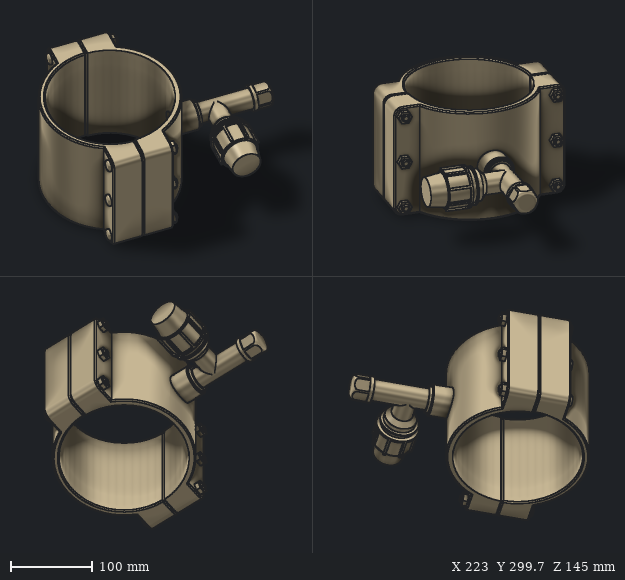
import cadquery as cq
import math

OVERALL_LENGTH = 299.7
MATCH_TOLERANCE = 0.03

CLAMP_HEIGHT = 145.0
BORE_RADIUS = 80.0
WALL = 8.0
SHELL_RADIUS = BORE_RADIUS + WALL
EAR_SPAN = 223.0
EAR_DEPTH = 40.0
EAR_CORNER_RADIUS = 11.0
EDGE_CHAMFER = 1.8

BOLT_X = 99.2
BOLT_PITCH = 60.5
BOLT_DIAMETER = 10.0
BOLT_TIP_LENGTH = 2.7
BOLT_TIP_CHAMFER = 1.8
HEAD_DIAMETER = 15.0
HEAD_HEIGHT = 4.0
HEAD_ROUND = 3.0
NUT_FLATS = 15.0
NUT_HEIGHT = 6.0

BOSS_DIAMETER = 39.3
BOSS_END = 111.8
BOSS_CHAMFER = 1.5
COLLAR_DIAMETER = 33.3
COLLAR_END = 115.5
PIPE_DIAMETER = 27.3
CAP_START = 185.0
CAP_RIM_END = 190.3
CAP_END = OVERALL_LENGTH - SHELL_RADIUS
CAP_FLATS = 30.0
CAP_ROUND = 6.5
OUTLET_DIAMETER = 25.0

BRANCH_Y = 138.8
CONE_START = 31.0
CONE_END = 37.8
SOCKET_DIAMETER = 40.5
RING_START = 44.7
RING_END = 46.5
RING_DIAMETER = 48.5
NECK_DIAMETER = 43.2
FLANGE_START = 53.0
FLANGE_END = 55.7
FLANGE_DIAMETER = 54.0
GRIP_DIAMETER = 48.5
RIB_END = 82.7
GRIP_CHAMFER = 1.5
GRIP_END = RIB_END + GRIP_CHAMFER
TAPER_START_DIAMETER = 43.8
TAPER_END_DIAMETER = 37.2
COUPLING_END = 105.5
RIB_COUNT = 8
RIB_WIDTH = 3.0


def cylinder_y(diameter, start, end):
    """Cylinder on the riser axis between two Y positions."""
    return cq.Workplane("XZ", origin=(0, start, 0)).circle(diameter / 2).extrude(start - end)


def clamp_cylinder(radius):
    """Full-height cylinder on the clamp axis."""
    return cq.Workplane("XY").circle(radius).extrude(CLAMP_HEIGHT / 2, both=True)


def hexagon_y(flats, start, end):
    """Hexagonal prism on the Y axis with two flats facing +Z and -Z."""
    prism = cq.Workplane("XZ", origin=(0, start, 0)).polygon(6, flats, circumscribed=True)
    return prism.extrude(start - end).rotate((0, 0, 0), (0, 1, 0), 30)


def chamfered_edges(half, with_bore_rims):
    """Edges of the +Y half that carry the small chamfer."""
    chosen = []
    for edge in half.edges().vals():
        middle = edge.positionAt(0.5)
        radius = math.hypot(middle.x, middle.y)
        on_split = abs(middle.y) < MATCH_TOLERANCE
        on_ear_face = abs(middle.y - EAR_DEPTH) < MATCH_TOLERANCE
        on_shell = abs(radius - SHELL_RADIUS) < MATCH_TOLERANCE
        on_ear_rim = on_ear_face and not on_shell
        on_shell_rim = on_shell and not on_ear_face
        on_bore_rim = abs(radius - BORE_RADIUS) < MATCH_TOLERANCE
        if on_split or on_ear_rim or on_shell_rim or (on_bore_rim and with_bore_rims):
            chosen.append(edge)
    return chosen


def clamp_half(with_bore_rims):
    """Half shell with two ears on the +Y side of the split."""
    ears = (
        cq.Workplane("XY")
        .box(EAR_SPAN, EAR_DEPTH, CLAMP_HEIGHT, centered=(True, False, True))
        .edges("|Y")
        .fillet(EAR_CORNER_RADIUS)
    )
    keep = cq.Workplane("XY").box(EAR_SPAN, EAR_SPAN, CLAMP_HEIGHT, centered=(True, False, True))
    half_shell = clamp_cylinder(SHELL_RADIUS).intersect(keep)
    half = ears.union(half_shell).cut(clamp_cylinder(BORE_RADIUS))
    return half.newObject(chamfered_edges(half, with_bore_rims)).chamfer(EDGE_CHAMFER)


def clamp():
    """Both halves; only the -Y half has chamfered bore rims."""
    plain_half = clamp_half(with_bore_rims=False)
    rimmed_half = clamp_half(with_bore_rims=True).mirror("XZ")
    return plain_half.union(rimmed_half)


def bolt():
    """Round head below the ears, hexagon nut and bolt tip above them, centred on Y."""
    head = (
        cq.Workplane("XZ", origin=(0, -EAR_DEPTH, 0))
        .circle(HEAD_DIAMETER / 2)
        .extrude(HEAD_HEIGHT)
        .faces("<Y")
        .edges()
        .fillet(HEAD_ROUND)
    )
    nut = hexagon_y(NUT_FLATS, EAR_DEPTH, EAR_DEPTH + NUT_HEIGHT)
    tip_end = EAR_DEPTH + NUT_HEIGHT + BOLT_TIP_LENGTH
    shank = cylinder_y(BOLT_DIAMETER, -EAR_DEPTH, tip_end).faces(">Y").chamfer(BOLT_TIP_CHAMFER)
    return shank.union(head).union(nut)


def riser():
    """Boss on the shell carrying the collar, the pipe and its end cap."""
    boss = cylinder_y(BOSS_DIAMETER, BORE_RADIUS, BOSS_END).faces(">Y").chamfer(BOSS_CHAMFER)
    collar = cylinder_y(COLLAR_DIAMETER, BOSS_END, COLLAR_END)
    pipe = cylinder_y(PIPE_DIAMETER, BOSS_END, CAP_START)
    return boss.cut(clamp_cylinder(BORE_RADIUS)).union(collar).union(pipe).union(cap())


def cap():
    """Round rim followed by a hexagon trimmed to the rim diameter, with a rounded end."""
    envelope = cylinder_y(COLLAR_DIAMETER, CAP_START, CAP_END).faces(">Y").edges().fillet(CAP_ROUND)
    rim = cylinder_y(COLLAR_DIAMETER, CAP_START, CAP_RIM_END)
    hexagon = hexagon_y(CAP_FLATS, CAP_RIM_END, CAP_END)
    return rim.union(envelope.intersect(hexagon))


def coupling():
    """Branch pipe and compression fitting turned around the branch axis, with grip ribs."""
    profile = [
        (0, 0),
        (0, PIPE_DIAMETER / 2),
        (CONE_START, PIPE_DIAMETER / 2),
        (CONE_END, SOCKET_DIAMETER / 2),
        (RING_START, SOCKET_DIAMETER / 2),
        (RING_START, RING_DIAMETER / 2),
        (RING_END, RING_DIAMETER / 2),
        (RING_END, NECK_DIAMETER / 2),
        (FLANGE_START, NECK_DIAMETER / 2),
        (FLANGE_START, FLANGE_DIAMETER / 2),
        (FLANGE_END, FLANGE_DIAMETER / 2),
        (FLANGE_END, GRIP_DIAMETER / 2),
        (RIB_END, GRIP_DIAMETER / 2),
        (GRIP_END, GRIP_DIAMETER / 2 - GRIP_CHAMFER),
        (GRIP_END, TAPER_START_DIAMETER / 2),
        (COUPLING_END, TAPER_END_DIAMETER / 2),
        (COUPLING_END, 0),
    ]
    body = cq.Workplane("XY").polyline(profile).close().revolve(360, (0, 0, 0), (1, 0, 0))
    rib_envelope = (
        cq.Workplane("YZ", origin=(FLANGE_START, 0, 0))
        .circle(FLANGE_DIAMETER / 2)
        .extrude(RIB_END - FLANGE_START)
    )
    rib_pitch = 360 / RIB_COUNT
    for index in range(RIB_COUNT):
        rib = (
            cq.Workplane("XY")
            .box(RIB_END - FLANGE_START, RIB_WIDTH, FLANGE_DIAMETER, centered=(False, True, False))
            .translate((FLANGE_START, 0, 0))
            .rotate((0, 0, 0), (1, 0, 0), (index + 0.5) * rib_pitch)
        )
        body = body.union(rib.intersect(rib_envelope))
    return body.translate((0, BRANCH_Y, 0))


result = clamp().union(riser()).union(coupling())
for side in (-1, 1):
    for row in (-1, 0, 1):
        result = result.union(bolt().translate((side * BOLT_X, 0, row * BOLT_PITCH)))
result = result.cut(cylinder_y(OUTLET_DIAMETER, 0, BOSS_END))